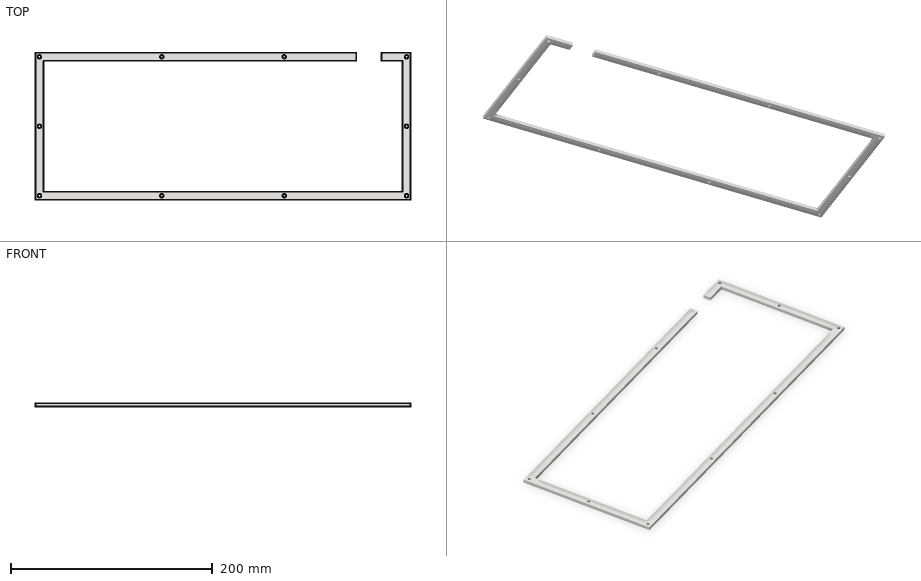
import cadquery as cq

length = 372.0
width = 146.0
thickness = 3.5
bar_width = 8.0

gap_width = 25.0
gap_to_right_end = 29.0

hole_diameter = 3.3
hole_edge_distance = bar_width / 2
long_bar_spaces = 3
short_bar_spaces = 2


def frame():
    outer = cq.Workplane("XY").rect(length, width)
    return outer.rect(length - 2 * bar_width, width - 2 * bar_width).extrude(thickness)


def rear_gap():
    gap_center_x = length / 2 - gap_to_right_end - gap_width / 2
    rear_bar_y = width / 2 - bar_width / 2
    gap = cq.Workplane("XY").center(gap_center_x, rear_bar_y)
    return gap.rect(gap_width, 2 * bar_width).extrude(thickness)


def hole_centers():
    """Evenly spaced hole positions around the frame, corners included."""
    half_x = length / 2 - hole_edge_distance
    half_y = width / 2 - hole_edge_distance
    centers = []
    for i in range(long_bar_spaces + 1):
        x = -half_x + i * 2 * half_x / long_bar_spaces
        centers += [(x, -half_y), (x, half_y)]
    for i in range(1, short_bar_spaces):
        y = -half_y + i * 2 * half_y / short_bar_spaces
        centers += [(-half_x, y), (half_x, y)]
    return centers


def screw_holes():
    points = cq.Workplane("XY").pushPoints(hole_centers())
    return points.circle(hole_diameter / 2).extrude(thickness)


result = frame().cut(rear_gap()).cut(screw_holes())